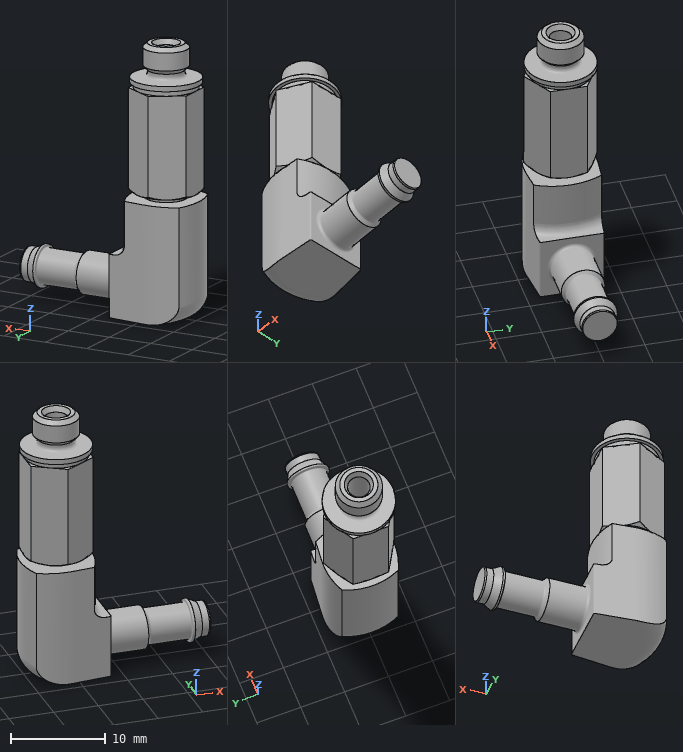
import cadquery as cq
import math

BODY_HALF_WIDTH = 4.0
BODY_HEIGHT = 13.17
BODY_END_X = 5.0
END_WALL_RADIUS = 7.73
SIDE_WALL_RADIUS = 7.25
SIDE_TANGENT_X = 0.7
BACK_CORNER_X = -3.3
HEEL_RADIUS = 2.25
LEDGE_Z = 7.05
LEDGE_FILLET = 1.18
END_CORNER_RADIUS = 0.18

NECK_DIAMETER = 4.53
HEX_BOTTOM_Z = 13.8
NECK_FILLET = HEX_BOTTOM_Z - BODY_HEIGHT
HEX_TOP_Z = 25.25
HEX_ACROSS_FLATS = 7.0
HEX_ACROSS_CORNERS = HEX_ACROSS_FLATS / math.cos(math.pi / 6)
HEX_CHAMFER_ANGLE = 30
FLANGE_DIAMETER = 7.8
FLANGE_BOTTOM_Z = 25.85
FLANGE_TOP_Z = 26.42
GROOVE_DIAMETER = 4.02
GROOVE_FILLET = 0.5
GROOVE_TOP_Z = 27.25
STUD_DIAMETER = 5.0
STUD_TOP_Z = 30.2
STUD_CHAMFER = 0.48

BORE_DIAMETER = 2.4
BORE_MOUTH_DIAMETER = 3.08
BORE_MOUTH_HALF_ANGLE = 30
BORE_MOUTH_REACH = (BORE_MOUTH_DIAMETER - BORE_DIAMETER) / 2
BORE_MOUTH_DEPTH = BORE_MOUTH_REACH / math.tan(math.radians(BORE_MOUTH_HALF_ANGLE))

TAIL_Z = 3.5
TAIL_SHOULDER_DIAMETER = 4.8
TAIL_ROOT_FILLET = 0.35
TAIL_SHOULDER_END_X = 9.57
TAIL_STEP_FILLET = 0.257
TAIL_PIPE_DIAMETER = 4.02
BARB_START_X = 14.55
BARB_FLAT_END_X = 14.83
BARB_DIAMETER = 4.8
BARB_EDGE_RADIUS = 0.1
BARB_TAPER_END_X = 15.73
TAIL_TIP_DIAMETER = 3.9
TAIL_END_X = 16.7
TIP_CHAMFER_LENGTH = 0.18
TIP_CHAMFER_DEPTH = 0.05


def side_wall_y(x):
    """Distance of the arched part of a side wall from the XZ plane."""
    crown_drop = SIDE_WALL_RADIUS - math.sqrt(SIDE_WALL_RADIUS**2 - x**2)
    return BODY_HALF_WIDTH - crown_drop


def body_prism():
    """Upright prism with arched sides that run out as tangent flats to the end face."""
    tangent_y = side_wall_y(SIDE_TANGENT_X)
    flat_slope = SIDE_TANGENT_X / math.sqrt(SIDE_WALL_RADIUS**2 - SIDE_TANGENT_X**2)
    end_y = tangent_y - flat_slope * (BODY_END_X - SIDE_TANGENT_X)
    corner_y = side_wall_y(BACK_CORNER_X)
    outline = (
        cq.Workplane("XY")
        .moveTo(BODY_END_X, -end_y)
        .lineTo(BODY_END_X, end_y)
        .lineTo(SIDE_TANGENT_X, tangent_y)
        .threePointArc((0, BODY_HALF_WIDTH), (BACK_CORNER_X, corner_y))
        .threePointArc((-BODY_HALF_WIDTH, 0), (BACK_CORNER_X, -corner_y))
        .threePointArc((0, -BODY_HALF_WIDTH), (SIDE_TANGENT_X, -tangent_y))
        .close()
    )
    prism = outline.extrude(BODY_HEIGHT)
    return prism.edges("|Z").edges(">X").fillet(END_CORNER_RADIUS)


def heel_envelope():
    """Round drum that gives the back wall its curved, rounded-under heel."""
    axis_x = END_WALL_RADIUS - BODY_HALF_WIDTH
    drum = cq.Workplane("XY").center(axis_x, 0).circle(END_WALL_RADIUS).extrude(BODY_HEIGHT)
    return drum.faces("<Z").edges().fillet(HEEL_RADIUS)


def ledge_envelope():
    """Base slab with a drum on it, blended by the concave fillet above the ledge."""
    axis_x = BODY_HALF_WIDTH - END_WALL_RADIUS
    fillet_edge_radius = END_WALL_RADIUS + LEDGE_FILLET
    slab_radius = END_WALL_RADIUS + 2 * LEDGE_FILLET
    return (
        cq.Workplane("XZ", origin=(axis_x, 0, 0))
        .lineTo(slab_radius, 0)
        .lineTo(slab_radius, LEDGE_Z)
        .lineTo(fillet_edge_radius, LEDGE_Z)
        .radiusArc((END_WALL_RADIUS, LEDGE_Z + LEDGE_FILLET), LEDGE_FILLET)
        .lineTo(END_WALL_RADIUS, BODY_HEIGHT)
        .lineTo(0, BODY_HEIGHT)
        .close()
        .revolve(360, (0, 0, 0), (0, 1, 0))
    )


def hexagon():
    """Hexagon with corners on +Y and -Y, its lower corners turned off at an angle."""
    height = HEX_TOP_Z - HEX_BOTTOM_Z
    prism = (
        cq.Workplane("XY", origin=(0, 0, HEX_BOTTOM_Z))
        .transformed(rotate=(0, 0, 90))
        .polygon(6, HEX_ACROSS_CORNERS)
        .extrude(height)
    )
    corner_reach = (HEX_ACROSS_CORNERS - HEX_ACROSS_FLATS) / 2
    chamfer_height = corner_reach * math.tan(math.radians(HEX_CHAMFER_ANGLE))
    turned = (
        cq.Workplane("XZ")
        .moveTo(0, HEX_BOTTOM_Z)
        .lineTo(HEX_ACROSS_FLATS / 2, HEX_BOTTOM_Z)
        .lineTo(HEX_ACROSS_CORNERS / 2, HEX_BOTTOM_Z + chamfer_height)
        .lineTo(HEX_ACROSS_CORNERS / 2, HEX_TOP_Z)
        .lineTo(0, HEX_TOP_Z)
        .close()
        .revolve(360, (0, 0, 0), (0, 1, 0))
    )
    return prism.intersect(turned)


def neck():
    """Short neck between body and hexagon, flaring into the hexagon."""
    radius = NECK_DIAMETER / 2
    return (
        cq.Workplane("XZ")
        .moveTo(0, BODY_HEIGHT)
        .lineTo(radius, BODY_HEIGHT)
        .radiusArc((radius + NECK_FILLET, HEX_BOTTOM_Z), NECK_FILLET)
        .lineTo(0, HEX_BOTTOM_Z)
        .close()
        .revolve(360, (0, 0, 0), (0, 1, 0))
    )


def stud():
    """Collar, sealing flange, undercut groove and chamfered stud."""
    collar_radius = HEX_ACROSS_FLATS / 2
    flange_radius = FLANGE_DIAMETER / 2
    groove_radius = GROOVE_DIAMETER / 2
    stud_radius = STUD_DIAMETER / 2
    groove_rise = stud_radius - groove_radius
    return (
        cq.Workplane("XZ")
        .moveTo(0, HEX_TOP_Z)
        .lineTo(collar_radius, HEX_TOP_Z)
        .lineTo(collar_radius, FLANGE_BOTTOM_Z)
        .lineTo(flange_radius, FLANGE_BOTTOM_Z)
        .lineTo(flange_radius, FLANGE_TOP_Z)
        .lineTo(groove_radius + GROOVE_FILLET, FLANGE_TOP_Z)
        .radiusArc((groove_radius, FLANGE_TOP_Z + GROOVE_FILLET), GROOVE_FILLET)
        .lineTo(groove_radius, GROOVE_TOP_Z)
        .lineTo(stud_radius, GROOVE_TOP_Z + groove_rise)
        .lineTo(stud_radius, STUD_TOP_Z - STUD_CHAMFER)
        .lineTo(stud_radius - STUD_CHAMFER, STUD_TOP_Z)
        .lineTo(0, STUD_TOP_Z)
        .close()
        .revolve(360, (0, 0, 0), (0, 1, 0))
    )


def bore():
    """Blind bore from the stud down to the level of the hose tail, with a tapered mouth."""
    return (
        cq.Workplane("XZ")
        .moveTo(0, TAIL_Z)
        .lineTo(BORE_DIAMETER / 2, TAIL_Z)
        .lineTo(BORE_DIAMETER / 2, STUD_TOP_Z - BORE_MOUTH_DEPTH)
        .lineTo(BORE_MOUTH_DIAMETER / 2, STUD_TOP_Z)
        .lineTo(0, STUD_TOP_Z)
        .close()
        .revolve(360, (0, 0, 0), (0, 1, 0))
    )


def hose_tail():
    """Stepped hose tail with one barb, revolved about its own X-parallel axis."""
    shoulder_radius = TAIL_SHOULDER_DIAMETER / 2
    pipe_radius = TAIL_PIPE_DIAMETER / 2
    barb_radius = BARB_DIAMETER / 2
    tip_radius = TAIL_TIP_DIAMETER / 2
    fillet_length = TAIL_STEP_FILLET * math.sin(math.pi / 4)
    fillet_rise = TAIL_STEP_FILLET * (1 - math.cos(math.pi / 4))
    step_drop = shoulder_radius - pipe_radius - fillet_rise
    step_end_x = TAIL_SHOULDER_END_X + step_drop
    return (
        cq.Workplane("XZ", origin=(0, 0, TAIL_Z))
        .moveTo(BODY_END_X, 0)
        .lineTo(BODY_END_X, shoulder_radius + TAIL_ROOT_FILLET)
        .radiusArc((BODY_END_X + TAIL_ROOT_FILLET, shoulder_radius), -TAIL_ROOT_FILLET)
        .lineTo(TAIL_SHOULDER_END_X, shoulder_radius)
        .lineTo(step_end_x, shoulder_radius - step_drop)
        .radiusArc((step_end_x + fillet_length, pipe_radius), -TAIL_STEP_FILLET)
        .lineTo(BARB_START_X - BARB_EDGE_RADIUS, pipe_radius)
        .radiusArc((BARB_START_X, pipe_radius + BARB_EDGE_RADIUS), -BARB_EDGE_RADIUS)
        .lineTo(BARB_START_X, barb_radius - BARB_EDGE_RADIUS)
        .radiusArc((BARB_START_X + BARB_EDGE_RADIUS, barb_radius), BARB_EDGE_RADIUS)
        .lineTo(BARB_FLAT_END_X, barb_radius)
        .lineTo(BARB_TAPER_END_X, tip_radius)
        .lineTo(TAIL_END_X - TIP_CHAMFER_LENGTH, tip_radius)
        .lineTo(TAIL_END_X, tip_radius - TIP_CHAMFER_DEPTH)
        .lineTo(TAIL_END_X, 0)
        .close()
        .revolve(360, (0, 0, 0), (1, 0, 0))
    )


body = body_prism().intersect(heel_envelope()).intersect(ledge_envelope())
result = body.union(neck()).union(hexagon()).union(stud()).union(hose_tail()).cut(bore())